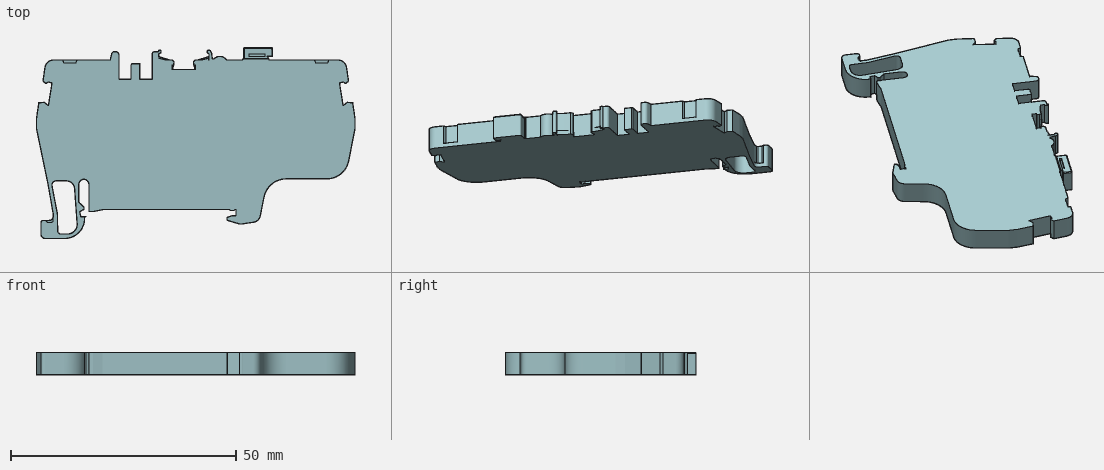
import cadquery as cq
import math

LENGTH = 70.81
HEIGHT = 42.41
THICKNESS = 5.0
MID_X = LENGTH / 2

WEB = 0.92

TOP_Y = 39.7
RAIL_Y = 6.42
STEP_Y = 13.25
FOOT_TOP_Y = 4.08
SIDE_LOW_Y = 24.5
SIDE_HIGH_Y = 26.6

CORNER_X = 2.13
CORNER_RADIUS = 2.0
SHOULDER_X = 1.46
SHOULDER_Y = 34.98
NOTCH_LOW_X = 0.53
NOTCH_LOW_Y = 30.18

FOOT_X = 1.0
ARM_X = 3.75
ARM_BEND_X = 2.6
ARM_BEND_Y = 11.95
ARM_END_Y = 5.33
FOOT_TOP_RADIUS = 0.6
FOOT_BOTTOM_RADIUS = 1.0
FOOT_RECESS_DEPTH = 0.48
GUSSET_RADIUS = 0.9
FOOT_BOW_RADIUS = 4.5
FOOT_BOW_RIGHT = 10.75
FOOT_BOW_TOP_Y = 4.75

CATCH_LEDGE_Y = 4.9
CATCH_LEDGE_X = 11.04
CATCH_TOOTH_X = 10.6
CATCH_TOOTH_LOW_Y = 6.5
CATCH_TOOTH_HIGH_Y = 7.0

WINDOW_TOP_Y = 12.8
WINDOW_BOTTOM_Y = 1.05
WINDOW_LEFT = 4.8

ARM_SLOT_LEFT = 9.46
ARM_SLOT_RIGHT = 11.65
ARM_SLOT_TOP = 13.15
ARM_SLOT_RADIUS = 1.09

TOE_Y = 5.98
TOE_RADIUS = 0.3
TOE_RIGHT = 12.6
TOE_RAMP_RIGHT = 14.8

HOOK_TIP_X = 42.3
HOOK_THROAT_X = 44.3
HOOK_LEDGE_Y = 5.1
HOOK_BOTTOM_Y = 3.22
HOOK_BEAD_Y = 6.24
HOOK_HEEL_X = 49.5
HOOK_HEEL_Y = 3.8
HOOK_HEEL_RADIUS = 1.8
STEP_LEFT = 51.4
STEP_RIGHT = 68.6
STEP_RADIUS = 5.0

CHANNEL_MID_X = 32.74
CHANNEL_HALF_WIDTH = 2.62
CHANNEL_FLOOR_Y = 37.58
CHANNEL_LIP_HALF_WIDTH = 2.12
CHANNEL_LIP_Y = 38.6
CHANNEL_LIP_DRAFT = 0.1
CHANNEL_LIP_BEVEL_WIDTH = 0.4
CHANNEL_LIP_BEVEL_DEPTH = 0.5
CHANNEL_WEB_INSET = 0.2
CHANNEL_WEB_RISE = 0.3

RAMP_HALF_WIDTH = 5.54
RAMP_RISE = 0.35
RAMP_LENGTH = 1.5
RAMP_WEB_RISE = 0.75
RAMP_WEB_LENGTH = 2.4
LATCH_TOP_Y = 41.85

DEEP_SLOT_LEFT = 18.39
DEEP_SLOT_RIGHT = 25.72
DEEP_SLOT_FLOOR_Y = 35.43
PILLAR_LEFT = 21.0
PILLAR_RIGHT = 22.97
PILLAR_TOP_Y = 38.84
PILLAR_CHAMFER = 0.25
POST_TOP_Y = 41.55

RECESS_LEFT = 5.85
RECESS_WIDTH = 3.2
RECESS_DEPTH = 0.67
RECESS_TAPER = 0.25

TAB_LEFT = 46.0
TAB_RIGHT = 52.5
TAB_FOOT_LEFT = 45.75
TAB_FOOT_RIGHT = 51.7
TAB_BASE_Y = TOP_Y + 0.15
TAB_UNDERCUT_LEFT = 51.3
TAB_UNDERCUT_Y = 40.45
TAB_CORNER_RADIUS = 0.3
TAB_CHAMFER = 0.2
TAB_SLOT_LEFT = 47.22
TAB_SLOT_BOTTOM = 40.5
TAB_SLOT_LENGTH = 3.52
TAB_SLOT_WIDTH = 0.48
TAB_SLOT_DEPTH = 0.5

OVERLAP = 0.5


def rounded_prism(corners, bottom=0.0, top=THICKNESS):
    """Extrude a closed polygon of (x, y, radius) corners from bottom to top."""
    stretches = []
    for i, (x, y, radius) in enumerate(corners):
        if radius == 0:
            stretches.append([(x, y)])
            continue
        before = corners[i - 1]
        after = corners[(i + 1) % len(corners)]
        angle_in = math.atan2(before[1] - y, before[0] - x)
        angle_out = math.atan2(after[1] - y, after[0] - x)
        turn = math.remainder(angle_out - angle_in, 2 * math.pi)
        half = abs(turn) / 2
        setback = radius / math.tan(half)
        start = (x + setback * math.cos(angle_in), y + setback * math.sin(angle_in))
        end = (x + setback * math.cos(angle_out), y + setback * math.sin(angle_out))
        bisector = angle_in + turn / 2
        reach = radius / math.sin(half) - radius
        middle = (x + reach * math.cos(bisector), y + reach * math.sin(bisector))
        stretches.append([start, middle, end])

    path = cq.Workplane("XY").workplane(offset=bottom).moveTo(*stretches[0][-1])
    for stretch in stretches[1:] + stretches[:1]:
        path = path.lineTo(*stretch[0])
        if len(stretch) > 1:
            path = path.threePointArc(stretch[1], stretch[2])
    return path.wire().extrude(top - bottom)


def mirrored(solid, axis_x):
    """Reflect a solid across the plane x = axis_x."""
    return solid.mirror("YZ", (axis_x, 0, 0))


def make_body():
    """Main plate with the rail hook on the right and the spring arm on the left."""
    return rounded_prism([
        (CORNER_X, TOP_Y, CORNER_RADIUS),
        (SHOULDER_X, SHOULDER_Y, 0),
        (NOTCH_LOW_X, NOTCH_LOW_Y, 0),
        (0, SIDE_HIGH_Y, 0),
        (0, SIDE_LOW_Y, 0),
        (ARM_BEND_X, ARM_BEND_Y, 0),
        (ARM_X, ARM_END_Y, 0),
        (ARM_X, FOOT_TOP_Y, 0),
        (FOOT_X, FOOT_TOP_Y, FOOT_TOP_RADIUS),
        (FOOT_X, 0, FOOT_BOTTOM_RADIUS),
        (FOOT_BOW_RIGHT, 0, FOOT_BOW_RADIUS),
        (FOOT_BOW_RIGHT, FOOT_BOW_TOP_Y, 0),
        (CATCH_LEDGE_X, CATCH_LEDGE_Y, 0),
        (9.9, CATCH_LEDGE_Y, 0),
        (9.67, 5.96, 0),
        (CATCH_TOOTH_X, CATCH_TOOTH_LOW_Y, 0),
        (CATCH_TOOTH_X, CATCH_TOOTH_HIGH_Y, 0),
        (ARM_SLOT_LEFT, 8.1, 0),
        (ARM_SLOT_LEFT, ARM_SLOT_TOP, ARM_SLOT_RADIUS),
        (ARM_SLOT_RIGHT, ARM_SLOT_TOP, ARM_SLOT_RADIUS),
        (ARM_SLOT_RIGHT, TOE_Y, TOE_RADIUS),
        (TOE_RIGHT, TOE_Y, 0),
        (TOE_RAMP_RIGHT, RAIL_Y, 0),
        (42.9, RAIL_Y, 0),
        (43.05, HOOK_BEAD_Y, 0),
        (43.95, HOOK_BEAD_Y, 0),
        (44.1, RAIL_Y, 0),
        (HOOK_THROAT_X, RAIL_Y, 0),
        (HOOK_THROAT_X, HOOK_LEDGE_Y, 0),
        (43.4, HOOK_LEDGE_Y, 0),
        (HOOK_TIP_X, 4.7, 0),
        (HOOK_TIP_X, 4.2, 0),
        (42.5, 4.0, 0),
        (44.9, 3.3, 0),
        (45.1, HOOK_BOTTOM_Y, 0),
        (45.7, HOOK_BOTTOM_Y, 0),
        (45.9, 3.27, 0),
        (HOOK_HEEL_X, HOOK_HEEL_Y, HOOK_HEEL_RADIUS),
        (STEP_LEFT, STEP_Y, STEP_RADIUS),
        (STEP_RIGHT, STEP_Y, STEP_RADIUS),
        (LENGTH, SIDE_LOW_Y, 0),
        (LENGTH, SIDE_HIGH_Y, 0),
        (LENGTH - NOTCH_LOW_X, NOTCH_LOW_Y, 0),
        (LENGTH - SHOULDER_X, SHOULDER_Y, 0),
        (LENGTH - CORNER_X, TOP_Y, CORNER_RADIUS),
    ])


def make_side_notch():
    """Latching notch in the left end, with a small nub on its upper edge."""
    return rounded_prism([
        (-OVERLAP, SHOULDER_Y, 0),
        (SHOULDER_X, SHOULDER_Y, 0),
        (2.15, 34.4, 0),
        (2.6, 34.75, 0),
        (3.46, 34.58, 0),
        (2.66, 29.57, 0),
        (1.75, 30.3, 0),
        (NOTCH_LOW_X, NOTCH_LOW_Y, 0),
        (-OVERLAP, NOTCH_LOW_Y, 0),
    ])


def make_foot_window():
    """Opening between the outer and inner legs of the spring arm."""
    return rounded_prism([
        (3.3, WINDOW_TOP_Y, 0.9),
        (8.35, WINDOW_TOP_Y, 1.8),
        (9.2, WINDOW_BOTTOM_Y, 2.1),
        (WINDOW_LEFT, WINDOW_BOTTOM_Y, 0.6),
        (4.7, 5.5, 0),
    ])


def make_left_post():
    """Rounded post to the left of the deep slots."""
    return rounded_prism([
        (16.45, TOP_Y - OVERLAP, 0),
        (16.45, TOP_Y + 0.3, 0),
        (16.85, POST_TOP_Y, 0.7),
        (DEEP_SLOT_LEFT, POST_TOP_Y, 0.8),
        (DEEP_SLOT_LEFT, TOP_Y - OVERLAP, 0),
    ])


def make_right_post():
    """Post to the right of the deep slots, with a latch bead on its tip."""
    bead_left = 27.2
    bead_right = 27.7
    return rounded_prism([
        (DEEP_SLOT_RIGHT, TOP_Y - OVERLAP, 0),
        (DEEP_SLOT_RIGHT, POST_TOP_Y, 0.6),
        (bead_left - 0.1, POST_TOP_Y, 0),
        (bead_left, LATCH_TOP_Y, 0.1),
        (bead_right, LATCH_TOP_Y, 0.2),
        (bead_right, 41.3, 0.2),
        (bead_left, 41.0, 0),
        (bead_left, TOP_Y - OVERLAP, 0),
    ])


def make_latch_hook():
    """Slim hook to the right of the marker channel."""
    return rounded_prism([
        (38.3, TOP_Y - OVERLAP, 0),
        (38.3, 41.0, 0),
        (37.95, 41.3, 0),
        (37.95, LATCH_TOP_Y, 0.25),
        (38.6, LATCH_TOP_Y, 0.25),
        (38.95, 41.2, 0),
        (39.1, 40.0, 0),
        (39.5, 39.9, 0),
        (39.5, TOP_Y - OVERLAP, 0),
    ])


def make_bump():
    """Low arched bump beside the latch hook."""
    left = 39.4
    right = 42.25
    crest = 40.5
    return (
        cq.Workplane("XY")
        .moveTo(left, TOP_Y - OVERLAP)
        .lineTo(left, TOP_Y + 0.15)
        .threePointArc(((left + right) / 2, crest), (right, TOP_Y))
        .lineTo(right, TOP_Y - OVERLAP)
        .close()
        .extrude(THICKNESS)
    )


def make_ramp():
    """Ramp falling from the right post to the channel, higher on the bottom web."""
    start = CHANNEL_MID_X - RAMP_HALF_WIDTH

    def wedge(rise, length, top):
        return rounded_prism([
            (start, TOP_Y - OVERLAP, 0),
            (start, TOP_Y + rise, 0),
            (start + length, TOP_Y, 0),
            (start + length, TOP_Y - OVERLAP, 0),
        ], top=top)

    upper = wedge(RAMP_RISE, RAMP_LENGTH, THICKNESS)
    return upper.union(wedge(RAMP_WEB_RISE, RAMP_WEB_LENGTH, WEB))


def channel_half_corners(flank_x, flank_y):
    """Left half of the channel, undercut below the lip as far as (flank_x, flank_y)."""
    lip_x = CHANNEL_MID_X - CHANNEL_LIP_HALF_WIDTH
    above = TOP_Y + OVERLAP
    return [
        (CHANNEL_MID_X, above, 0),
        (lip_x - CHANNEL_LIP_BEVEL_WIDTH, above, 0),
        (lip_x - CHANNEL_LIP_BEVEL_WIDTH, TOP_Y, 0),
        (lip_x, TOP_Y - CHANNEL_LIP_BEVEL_DEPTH, 0),
        (lip_x - CHANNEL_LIP_DRAFT, CHANNEL_LIP_Y, 0),
        (flank_x, flank_y, 0),
        (flank_x, CHANNEL_FLOOR_Y, 0),
        (CHANNEL_MID_X, CHANNEL_FLOOR_Y, 0),
    ]


def make_channel():
    """Undercut marker channel; the web keeps a sloping flank under each lip."""
    left = CHANNEL_MID_X - CHANNEL_HALF_WIDTH
    upper = channel_half_corners(left, CHANNEL_LIP_Y)
    web = channel_half_corners(left + CHANNEL_WEB_INSET, CHANNEL_FLOOR_Y + CHANNEL_WEB_RISE)
    left_half = rounded_prism(upper, bottom=WEB).union(rounded_prism(web, top=WEB))
    return left_half.union(mirrored(left_half, CHANNEL_MID_X))


def make_deep_slots():
    """Space of the two deep slots, leaving the pillar between them."""
    above = TOP_Y + OVERLAP
    return rounded_prism([
        (DEEP_SLOT_LEFT, above, 0),
        (DEEP_SLOT_LEFT, DEEP_SLOT_FLOOR_Y, 0),
        (PILLAR_LEFT, DEEP_SLOT_FLOOR_Y, 0),
        (PILLAR_LEFT, PILLAR_TOP_Y - PILLAR_CHAMFER, 0),
        (PILLAR_LEFT + PILLAR_CHAMFER, PILLAR_TOP_Y, 0),
        (PILLAR_RIGHT, PILLAR_TOP_Y, 0),
        (PILLAR_RIGHT, DEEP_SLOT_FLOOR_Y, 0),
        (DEEP_SLOT_RIGHT, DEEP_SLOT_FLOOR_Y, 0),
        (DEEP_SLOT_RIGHT, above, 0),
    ])


def make_top_recess():
    """Trapezoidal recess in the top edge near the left end, open down to the web."""
    right = RECESS_LEFT + RECESS_WIDTH
    floor_y = TOP_Y - RECESS_DEPTH
    return rounded_prism([
        (RECESS_LEFT, TOP_Y + OVERLAP, 0),
        (RECESS_LEFT, TOP_Y, 0),
        (RECESS_LEFT + RECESS_TAPER, floor_y, 0),
        (right - RECESS_TAPER, floor_y, 0),
        (right, TOP_Y, 0),
        (right, TOP_Y + OVERLAP, 0),
    ], bottom=WEB)


def make_foot_recess():
    """Recess in the top of the foot, open down to the web."""
    return rounded_prism([
        (2.0, FOOT_TOP_Y, 0),
        (2.5, FOOT_TOP_Y - FOOT_RECESS_DEPTH, 0),
        (3.4, FOOT_TOP_Y - FOOT_RECESS_DEPTH, 0),
        (ARM_X, 3.85, 0),
        (ARM_X, FOOT_TOP_Y, 0),
    ], bottom=WEB)


def make_foot_gusset():
    """Concave gusset on the web in the corner between foot and spring arm."""
    blend = cq.Workplane("XY").center(ARM_X - GUSSET_RADIUS, FOOT_TOP_Y + GUSSET_RADIUS)
    corner = (
        blend
        .rect(GUSSET_RADIUS, -GUSSET_RADIUS, centered=False)
        .extrude(WEB)
    )
    return corner.cut(blend.circle(GUSSET_RADIUS).extrude(WEB))


def make_tab():
    """Indicator tab: chamfered and undercut block on a narrow foot, with a shallow slot."""
    block = rounded_prism([
        (TAB_LEFT, TAB_BASE_Y, 0),
        (TAB_LEFT, HEIGHT, TAB_CORNER_RADIUS),
        (TAB_RIGHT, HEIGHT, TAB_CORNER_RADIUS),
        (TAB_RIGHT, TAB_BASE_Y, 0),
    ]).faces(">Z").chamfer(TAB_CHAMFER)
    undercut = rounded_prism([
        (TAB_RIGHT, TAB_UNDERCUT_Y, 0),
        (TAB_UNDERCUT_LEFT, TAB_UNDERCUT_Y, 0),
        (TAB_FOOT_RIGHT, TAB_BASE_Y, 0),
        (TAB_RIGHT, TAB_BASE_Y, 0),
    ])
    slot = (
        cq.Workplane("XY")
        .workplane(offset=THICKNESS - TAB_SLOT_DEPTH)
        .moveTo(TAB_SLOT_LEFT, TAB_SLOT_BOTTOM)
        .rect(TAB_SLOT_LENGTH, TAB_SLOT_WIDTH, centered=False)
        .extrude(TAB_SLOT_DEPTH)
    )
    foot = rounded_prism([
        (TAB_FOOT_LEFT, TOP_Y - OVERLAP, 0),
        (TAB_FOOT_LEFT, TAB_BASE_Y, 0),
        (TAB_FOOT_RIGHT, TAB_BASE_Y, 0),
        (TAB_FOOT_RIGHT, TOP_Y - OVERLAP, 0),
    ])
    return block.cut(undercut).cut(slot).union(foot)


part = make_body()
for addition in (
    make_left_post(),
    make_right_post(),
    make_latch_hook(),
    make_bump(),
    make_ramp(),
    mirrored(make_ramp(), CHANNEL_MID_X),
    make_foot_gusset(),
    make_tab(),
):
    part = part.union(addition)

for cutter in (
    make_side_notch(),
    mirrored(make_side_notch(), MID_X),
    make_foot_window(),
    make_deep_slots(),
    make_channel(),
    make_top_recess(),
    mirrored(make_top_recess(), MID_X),
    make_foot_recess(),
):
    part = part.cut(cutter)

result = part